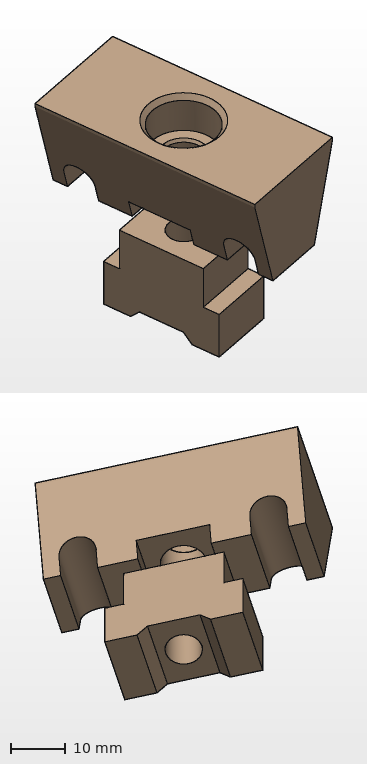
import cadquery as cq
import math

total_height = 44.75

block_length = 49.5
block_width = 24.0
block_height = 21.6
rim_height = 0.75
side_taper = 15.0
slot_width = 7.0
slot_spacing = 36.0
slot_arc_height = 4.1
notch_depth = 4.1

bore_diameter = 14.0
bore_depth = 8.0
bore_chamfer = 1.0
screw_diameter = 8.5
screw_chamfer = 0.55

key_width = 13.85
key_height = 19.05
foot_length = 26.05
foot_height = 10.0
neck_length = 18.9
relief_length = key_width
relief_depth = 2.0
key_hole_diameter = 6.8

block_bottom = total_height - block_height


def countersunk_hole(diameter, top, bottom, chamfer):
    """Round vertical cutter with a 45 degree chamfer at its top edge."""
    radius = diameter / 2
    return (
        cq.Workplane("XZ")
        .moveTo(0, bottom)
        .lineTo(radius, bottom)
        .lineTo(radius, top - chamfer)
        .lineTo(radius + chamfer, top)
        .lineTo(0, top)
        .close()
        .revolve(360, (0, 0), (0, 1))
    )


def block_body():
    """Bar with a short vertical rim and sides that taper inwards below it."""
    taper_height = block_height - rim_height
    half_top = block_width / 2
    half_bottom = half_top - taper_height * math.tan(math.radians(side_taper))
    rim_bottom = total_height - rim_height
    return (
        cq.Workplane("YZ")
        .polyline([
            (-half_bottom, block_bottom),
            (half_bottom, block_bottom),
            (half_top, rim_bottom),
            (half_top, total_height),
            (-half_top, total_height),
            (-half_top, rim_bottom),
        ])
        .close()
        .extrude(block_length / 2, both=True)
    )


def round_slot(x):
    """Cutter for a round-ended slot across the underside of the block."""
    radius = slot_width / 2
    arc_level = block_bottom + slot_arc_height
    return (
        cq.Workplane("XZ")
        .moveTo(x - radius, block_bottom)
        .lineTo(x - radius, arc_level)
        .threePointArc((x, arc_level + radius), (x + radius, arc_level))
        .lineTo(x + radius, block_bottom)
        .close()
        .extrude(block_width / 2, both=True)
    )


def central_notch():
    """Cutter for the square notch across the underside of the block."""
    return (
        cq.Workplane("XY", origin=(0, 0, block_bottom))
        .rect(key_width, block_width)
        .extrude(notch_depth)
    )


def make_block():
    block = block_body().cut(central_notch())
    for x in (-slot_spacing / 2, slot_spacing / 2):
        block = block.cut(round_slot(x))
    bore_floor = total_height - bore_depth
    block = block.cut(countersunk_hole(bore_diameter, total_height, bore_floor, bore_chamfer))
    return block.cut(countersunk_hole(screw_diameter, bore_floor, block_bottom, screw_chamfer))


def make_key():
    """T-shaped key with a sloped relief underneath and a vertical through hole."""
    half_foot = foot_length / 2
    half_neck = neck_length / 2
    half_relief = relief_length / 2
    key = (
        cq.Workplane("XZ")
        .polyline([
            (-half_foot, 0),
            (-half_relief, 0),
            (-half_relief + relief_depth, relief_depth),
            (half_relief - relief_depth, relief_depth),
            (half_relief, 0),
            (half_foot, 0),
            (half_foot, foot_height),
            (half_neck, foot_height),
            (half_neck, key_height),
            (-half_neck, key_height),
            (-half_neck, foot_height),
            (-half_foot, foot_height),
        ])
        .close()
        .extrude(key_width / 2, both=True)
    )
    hole = cq.Workplane("XY").circle(key_hole_diameter / 2).extrude(key_height)
    return key.cut(hole)


block = make_block()
key = make_key()
result = cq.Compound.makeCompound([block.val(), key.val()])